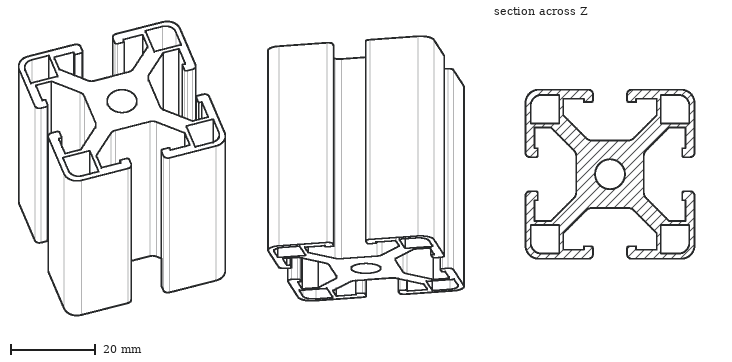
import cadquery as cq

side = 40.0
length = 50.0
half_side = side / 2
side_count = 4
quarter_turn = 90.0
corner_radius = 3.25

slot_opening = 8.0
lip_width = 2.15
lip_depth = 3.0
flange_thickness = 2.2
slot_half_width = 11.0
core_half_width = 8.0
arm_offset = 2.9
lip_outer_radius = 1.15
lip_inner_radius = 0.5
slot_floor_radius = 2.0

pocket_wall = 1.3
pocket_inner = 12.0
pocket_radius = 2.5
bore_diameter = 7.0


def make_block():
    block = cq.Workplane("XY").rect(side, side).extrude(length)
    return block.edges("|Z").fillet(corner_radius)


def fillet_at(body, points, radius):
    """Round the vertical edges nearest to the given XY points."""
    for x, y in points:
        nearest = cq.selectors.NearestToPointSelector((x, y, length / 2))
        body = body.edges("|Z").edges(nearest).fillet(radius)
    return body


def make_slot():
    """Cutter for the T-slot on the +Y side, symmetric about the YZ plane."""
    mouth = slot_opening / 2
    lip_end = mouth + lip_width
    lip_y = half_side - lip_depth
    ceiling_y = half_side - flange_thickness
    floor_x = core_half_width - arm_offset
    half_profile = [
        (0, half_side),
        (mouth, half_side),
        (mouth, lip_y),
        (lip_end, lip_y),
        (lip_end, ceiling_y),
        (slot_half_width, ceiling_y),
        (slot_half_width, slot_half_width + arm_offset),
        (floor_x, core_half_width),
        (0, core_half_width),
    ]
    half_slot = cq.Workplane("XY").polyline(half_profile).close().extrude(length)
    slot = half_slot.union(half_slot.mirror("YZ")).clean()
    floor_corners = [(-floor_x, core_half_width), (floor_x, core_half_width)]
    return fillet_at(slot, floor_corners, slot_floor_radius)


def make_pocket():
    """Cutter for the hollow in the +X +Y corner."""
    size = half_side - pocket_wall - pocket_inner
    pocket = (
        cq.Workplane("XY")
        .rect(size, size, centered=False)
        .extrude(length)
        .translate((pocket_inner, pocket_inner, 0))
    )
    outer_corner = half_side - pocket_wall
    return fillet_at(pocket, [(outer_corner, outer_corner)], pocket_radius)


def round_lips(body):
    """Round the two edges of each lip on the +Y slot."""
    mouth = slot_opening / 2
    lip_y = half_side - lip_depth
    body = fillet_at(body, [(-mouth, half_side), (mouth, half_side)], lip_outer_radius)
    return fillet_at(body, [(-mouth, lip_y), (mouth, lip_y)], lip_inner_radius)


result = make_block()
slot_cutter = make_slot()
pocket_cutter = make_pocket()
for _ in range(side_count):
    result = result.cut(slot_cutter).cut(pocket_cutter)
    result = round_lips(result).rotate((0, 0, 0), (0, 0, 1), quarter_turn)

bore = cq.Workplane("XY").circle(bore_diameter / 2).extrude(length)
result = result.cut(bore)